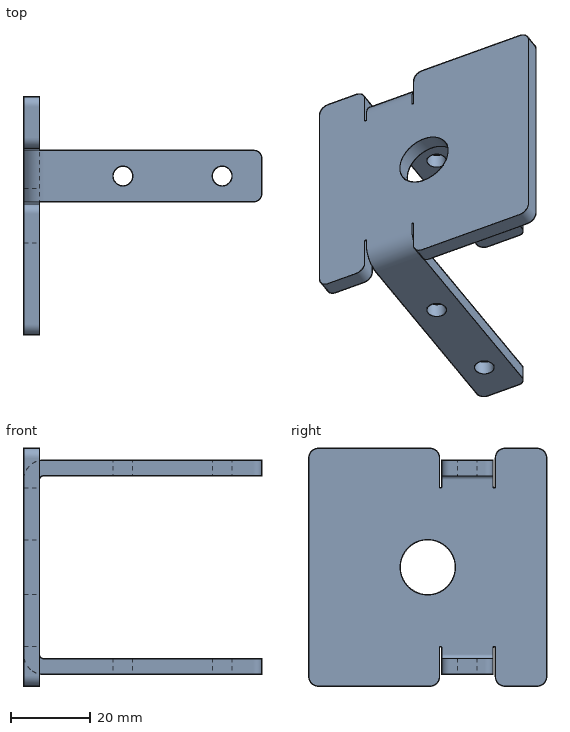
import cadquery as cq

plate_side = 60.0
thickness = 4.0
plate_corner_radius = 2.5
plate_hole_diameter = 13.84

arm_reach = 60.0
arm_width = 13.0
arm_center_y = 10.0
arm_inset = 3.0
arm_corner_radius = 2.0
arm_hole_diameter = 4.92
arm_hole_positions_x = (25.0, 50.0)

bend_inner_radius = 1.0
relief_width = 0.5
relief_depth = 10.0

half_side = plate_side / 2
bend_outer_radius = bend_inner_radius + thickness
arm_outer_z = half_side - arm_inset
bend_start_z = arm_outer_z - bend_outer_radius
relief_bottom_z = half_side - relief_depth
notch_width = arm_width + 2 * relief_width
slot_depth_below_bend = bend_start_z - relief_bottom_z


def make_plate():
    """Square plate with an open notch for each arm, rounded corners and a central hole."""
    plate = cq.Workplane("YZ").rect(plate_side, plate_side).extrude(thickness)
    notch_height = half_side - bend_start_z
    for side in (1, -1):
        notch_center_z = side * (bend_start_z + notch_height / 2)
        notch = (
            cq.Workplane("YZ")
            .center(arm_center_y, notch_center_z)
            .rect(notch_width, notch_height)
            .extrude(thickness)
        )
        plate = plate.cut(notch)
    plate = plate.edges("|X and (>Z or <Z)").fillet(plate_corner_radius)
    hole = cq.Workplane("YZ").circle(plate_hole_diameter / 2).extrude(thickness)
    return plate.cut(hole)


def make_relief_slots():
    """Round-ended slots beside the upper arm, running from its bend down into the plate."""
    slot_length = 2 * slot_depth_below_bend
    slot_offset = (arm_width + relief_width) / 2
    return (
        cq.Workplane("YZ")
        .center(arm_center_y, relief_bottom_z + slot_length / 2)
        .pushPoints([(-slot_offset, 0), (slot_offset, 0)])
        .slot2D(slot_length, relief_width, 90)
        .extrude(thickness)
    )


def make_arm():
    """Upper arm: a quarter bend rising from the plate, then a flat strip with two holes."""
    arm_inner_z = arm_outer_z - thickness
    profile = (
        cq.Workplane("XZ", origin=(0, arm_center_y, 0))
        .moveTo(0, bend_start_z)
        .radiusArc((bend_outer_radius, arm_outer_z), bend_outer_radius)
        .lineTo(arm_reach, arm_outer_z)
        .lineTo(arm_reach, arm_inner_z)
        .lineTo(bend_outer_radius, arm_inner_z)
        .radiusArc((thickness, bend_start_z), -bend_inner_radius)
        .close()
    )
    arm = profile.extrude(arm_width / 2, both=True)
    arm = arm.edges("|Z").edges(">X").fillet(arm_corner_radius)
    holes = (
        cq.Workplane("XY", origin=(0, arm_center_y, arm_inner_z))
        .pushPoints([(x, 0) for x in arm_hole_positions_x])
        .circle(arm_hole_diameter / 2)
        .extrude(thickness)
    )
    return arm.cut(holes)


arm = make_arm()
relief_slots = make_relief_slots()
turn_axis_start = (0, arm_center_y, 0)
turn_axis_end = (arm_reach, arm_center_y, 0)
result = make_plate()
for turn_angle in (0, 180):
    turned_slots = relief_slots.rotate(turn_axis_start, turn_axis_end, turn_angle)
    turned_arm = arm.rotate(turn_axis_start, turn_axis_end, turn_angle)
    result = result.cut(turned_slots).union(turned_arm)